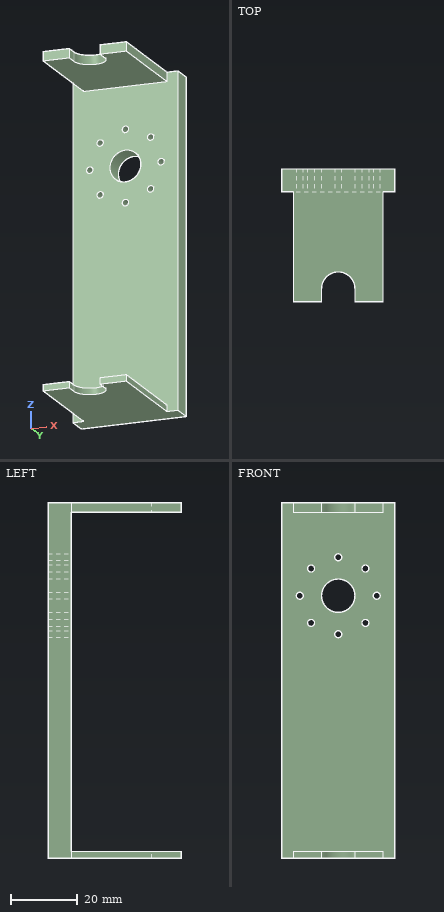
import cadquery as cq

plate_width = 34.0
plate_height = 107
plate_thickness = 7.0

total_depth = 40.0
arm_width = 27.0
top_arm_thickness = 3.0
bottom_arm_thickness = 2.0

slot_width = 10.0
slot_depth = 9.0

bore_diameter = 10.0
bore_below_top = 28.0
ring_radius = 11.6
ring_hole_diameter = 2.0
ring_hole_count = 8

arm_length = total_depth - plate_thickness
bore_height = plate_height - bore_below_top


def make_plate():
    """Upright plate with its front face on Y = 0 and its base on Z = 0."""
    plate = cq.Workplane("XY").box(
        plate_width, plate_thickness, plate_height, centered=(True, False, False)
    )
    holes = (
        cq.Workplane("XZ", origin=(0, 0, bore_height))
        .circle(bore_diameter / 2)
        .polarArray(ring_radius, 0, 360, ring_hole_count)
        .circle(ring_hole_diameter / 2)
        .extrude(-plate_thickness)
    )
    return plate.cut(holes)


def make_arm(base_height, thickness):
    """Flat arm in front of the plate, slotted at its free end."""
    slot_radius = slot_width / 2
    slot_straight = slot_depth - slot_radius
    profile = (
        cq.Workplane("XY", origin=(0, 0, base_height))
        .moveTo(-arm_width / 2, 0)
        .lineTo(-arm_width / 2, -arm_length)
        .lineTo(-slot_radius, -arm_length)
        .lineTo(-slot_radius, -arm_length + slot_straight)
        .threePointArc((0, -arm_length + slot_depth), (slot_radius, -arm_length + slot_straight))
        .lineTo(slot_radius, -arm_length)
        .lineTo(arm_width / 2, -arm_length)
        .lineTo(arm_width / 2, 0)
        .close()
    )
    return profile.extrude(thickness)


bottom_arm = make_arm(0, bottom_arm_thickness)
top_arm = make_arm(plate_height - top_arm_thickness, top_arm_thickness)
result = make_plate().union(bottom_arm).union(top_arm)